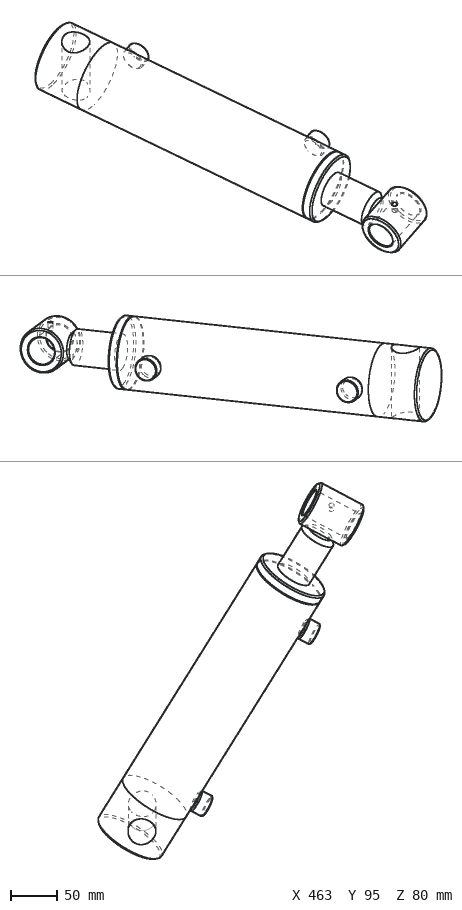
import cadquery as cq

BODY_DIAMETER = 80.0
EDGE_CHAMFER = 2.0

BASE_LENGTH = 55.0
PIN_DIAMETER = 30.0

BARREL_END = 346.0
GLAND_END = 356.5
JOINT_CHAMFER = 0.55

ROD_DIAMETER = 40.0
ROD_END_CHAMFER = 5.0

OVERALL_LENGTH = 463.0
EYE_DIAMETER = 50.0
EYE_WIDTH = 55.0
EYE_CENTRE = OVERALL_LENGTH - EYE_DIAMETER / 2
BORE_CHAMFER = 1.0
GREASE_HOLE_DIAMETER = 5.5
ROD_END = 413.5

PORT_DIAMETER = 25.0
PORT_CENTRES = (74.0, 307.0)
PORT_PROJECTION = 15.0
PORT_SINK = 0.5
PORT_FOOT_CHAMFER = 2.0
PORT_TIP_CHAMFER = 1.0


def bar_along_x(start, end, diameter):
    """Solid round bar on the X axis."""
    return cq.Workplane("YZ", origin=(start, 0, 0)).circle(diameter / 2).extrude(end - start)


def bar_along_y(x, start, end, diameter):
    """Solid round bar parallel to Y at the given X, on the plane Z = 0."""
    return cq.Workplane("XZ", origin=(x, start, 0)).circle(diameter / 2).extrude(start - end)


def make_base():
    """Closed end of the cylinder, with a vertical cross bore for the mounting pin."""
    base = bar_along_x(0, BASE_LENGTH, BODY_DIAMETER).faces("<X").chamfer(EDGE_CHAMFER)
    pin_bore = (
        cq.Workplane("XY", origin=(BASE_LENGTH / 2, 0, 0))
        .circle(PIN_DIAMETER / 2)
        .extrude(BODY_DIAMETER, both=True)
    )
    return base.cut(pin_bore)


def make_barrel():
    """Main cylinder body, bevelled where it meets the gland."""
    return bar_along_x(BASE_LENGTH, BARREL_END, BODY_DIAMETER).faces(">X").chamfer(JOINT_CHAMFER)


def make_gland():
    """End cap through which the rod leaves the cylinder."""
    gland = bar_along_x(BARREL_END, GLAND_END, BODY_DIAMETER)
    gland = gland.faces("<X").chamfer(JOINT_CHAMFER)
    return gland.faces(">X").chamfer(EDGE_CHAMFER)


def make_rod():
    """Exposed rod with a bevelled tip, hollowed to seat against the round eye."""
    rod = bar_along_x(GLAND_END, ROD_END, ROD_DIAMETER).faces(">X").chamfer(ROD_END_CHAMFER)
    eye_seat = bar_along_y(EYE_CENTRE, -EYE_WIDTH / 2, EYE_WIDTH / 2, EYE_DIAMETER)
    return rod.cut(eye_seat)


def make_eye():
    """Cross tube on the rod end, with a grease hole from the top into its bore."""
    eye = bar_along_y(EYE_CENTRE, -EYE_WIDTH / 2, EYE_WIDTH / 2, EYE_DIAMETER)
    eye = eye.faces("<Y or >Y").chamfer(EDGE_CHAMFER)
    eye = eye.cut(bar_along_y(EYE_CENTRE, -EYE_WIDTH / 2, EYE_WIDTH / 2, PIN_DIAMETER))
    bore_rims = cq.selectors.RadiusNthSelector(0)
    eye = eye.faces("<Y or >Y").edges(bore_rims).chamfer(BORE_CHAMFER)
    grease_hole = (
        cq.Workplane("XY", origin=(EYE_CENTRE, 0, 0))
        .circle(GREASE_HOLE_DIAMETER / 2)
        .extrude(EYE_DIAMETER)
    )
    return eye.cut(grease_hole)


def make_port(x, barrel):
    """Round boss on the +Y side, saddled onto the barrel."""
    crest = BODY_DIAMETER / 2
    port = bar_along_y(x, crest - PORT_SINK, crest + PORT_PROJECTION, PORT_DIAMETER)
    port = port.faces(">Y").chamfer(PORT_TIP_CHAMFER)
    port = port.faces("<Y").chamfer(PORT_FOOT_CHAMFER)
    return port.cut(barrel)


base = make_base()
barrel = make_barrel()
gland = make_gland()
rod = make_rod()
eye = make_eye()
ports = [make_port(x, barrel) for x in PORT_CENTRES]

result = cq.Compound.makeCompound(
    [base.val(), barrel.val(), gland.val(), rod.val(), eye.val(), *[port.val() for port in ports]]
)